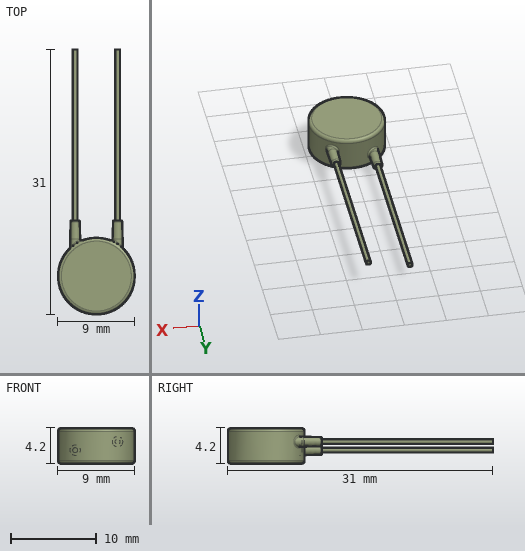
import cadquery as cq

case_diameter = 9.0
case_height = 4.2
case_edge_radius = 0.4

overall_length = 31.0
lead_offset_x = 2.48
lead_offset_z = 0.5
wire_diameter = 0.6

boss_diameter = 1.2
boss_end_y = 4.35
sleeve_tip_diameter = 1.1
sleeve_end_y = 6.5
sleeve_tip_rounding = 0.2
boss_joint_radius = 0.15

case_radius = case_diameter / 2
boss_radius = boss_diameter / 2
sleeve_tip_radius = sleeve_tip_diameter / 2
wire_end_y = overall_length - case_radius
root_y = case_radius / 2
leads = [(-lead_offset_x, -lead_offset_z), (lead_offset_x, lead_offset_z)]


def make_case():
    case = cq.Workplane("XY").cylinder(case_height, case_radius)
    return case.faces("|Z").edges().fillet(case_edge_radius)


def make_sleeve(x, z):
    """Straight boss followed by a slightly tapered sleeve with a rounded tip."""
    profile = (
        cq.Workplane("XY")
        .moveTo(0, root_y)
        .lineTo(boss_radius, root_y)
        .lineTo(boss_radius, boss_end_y)
        .lineTo(sleeve_tip_radius, sleeve_end_y)
        .lineTo(0, sleeve_end_y)
        .close()
    )
    sleeve = profile.revolve(360, (0, 0, 0), (0, 1, 0))
    return sleeve.faces(">Y").edges().fillet(sleeve_tip_rounding).translate((x, 0, z))


def make_wire(x, z):
    wire = cq.Solid.makeCylinder(
        wire_diameter / 2, wire_end_y - root_y, cq.Vector(x, root_y, z), cq.Vector(0, 1, 0)
    )
    return cq.Workplane(obj=wire)


def boss_joints(body):
    """Select the curved edges where the bosses meet the case wall."""
    reach_x = lead_offset_x + boss_radius
    half_height = lead_offset_z + boss_radius
    joint_box = cq.selectors.BoxSelector(
        (-reach_x, root_y, -half_height), (reach_x, boss_end_y, half_height)
    )
    return body.edges("not(%CIRCLE or %LINE)").edges(joint_box)


body = make_case()
for x, z in leads:
    body = body.union(make_sleeve(x, z))
body = boss_joints(body).fillet(boss_joint_radius)
for x, z in leads:
    body = body.union(make_wire(x, z))

result = body